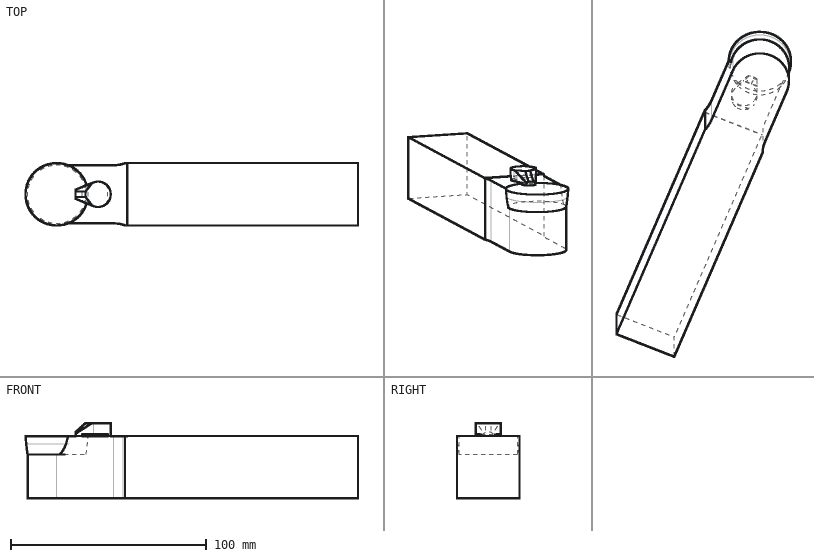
import cadquery as cq
import math


total_length = 170.0
shank_size = 32.0
shank_half_width = shank_size / 2
shank_start = 51.0
ramp_start = 52.0
ramp_end = 52.25
ramp_rise = 0.2
bottom_z = ramp_rise - shank_size

neck_half_width = 14.9
flare_start = 45.0
flare_end = 50.0
flare_angle = math.radians(16.0)
flare_radius = (flare_end - flare_start) / math.sin(flare_angle)

insert_radius = 16.0
insert_center_x = insert_radius
insert_thickness = 9.3
rim_height = 4.1
rim_relief = math.radians(5.0)
body_relief = math.radians(7.3)
rim_bottom_radius = insert_radius - rim_height * math.tan(rim_relief)
insert_bottom_radius = rim_bottom_radius - (insert_thickness - rim_height) * math.tan(body_relief)

total_height = 38.5
clamp_height = total_height + bottom_z
clamp_radius = 6.5
clamp_center_x = 37.15
clamp_tip_x = 25.7
clamp_tip_half_width = 2.35

ridge_half_width = 1.3
ridge_top_x = 30.7
ridge_tip_height = 2.1
flank_top_x = 34.0

clearance_height = 1.0
clearance_start = 29.0
clearance_end = 42.0


def make_insert():
    profile = [
        (0, 0),
        (insert_radius, 0),
        (rim_bottom_radius, -rim_height),
        (insert_bottom_radius, -insert_thickness),
        (0, -insert_thickness),
    ]
    cones = cq.Workplane("XZ").polyline(profile).close().revolve(360, (0, 0), (0, 1))
    return cones.translate((insert_center_x, 0, 0))


def flare_point(angle):
    """Point on the +Y flare arc, at the given angle from its tangent start on the neck."""
    x = flare_start + flare_radius * math.sin(angle)
    y = neck_half_width + flare_radius * (1 - math.cos(angle))
    return x, y


def make_shank_and_neck():
    mid_x, mid_y = flare_point(flare_angle / 2)
    end_x, end_y = flare_point(flare_angle)
    bar = (
        cq.Workplane("XY")
        .moveTo(insert_center_x, neck_half_width)
        .lineTo(flare_start, neck_half_width)
        .threePointArc((mid_x, mid_y), (end_x, end_y))
        .lineTo(shank_start, shank_half_width)
        .lineTo(total_length, shank_half_width)
        .lineTo(total_length, -shank_half_width)
        .lineTo(shank_start, -shank_half_width)
        .lineTo(end_x, -end_y)
        .threePointArc((mid_x, -mid_y), (flare_start, -neck_half_width))
        .lineTo(insert_center_x, -neck_half_width)
        .threePointArc((insert_center_x - neck_half_width, 0), (insert_center_x, neck_half_width))
        .close()
        .extrude(bottom_z)
    )
    raised_top = (
        cq.Workplane("XZ")
        .moveTo(ramp_start, 0)
        .lineTo(ramp_end, ramp_rise)
        .lineTo(total_length, ramp_rise)
        .lineTo(total_length, 0)
        .close()
        .extrude(shank_half_width, both=True)
    )
    return bar.union(raised_top)


def make_clamp_blank():
    """Straight flanks run from the tip to the round head, tangent to it."""
    tip_offset_x = clamp_tip_x - clamp_center_x
    tip_distance = math.hypot(tip_offset_x, clamp_tip_half_width)
    tip_direction = math.atan2(clamp_tip_half_width, tip_offset_x)
    tangent_direction = tip_direction - math.acos(clamp_radius / tip_distance)
    tangent_x = clamp_center_x + clamp_radius * math.cos(tangent_direction)
    tangent_y = clamp_radius * math.sin(tangent_direction)
    return (
        cq.Workplane("XY")
        .moveTo(clamp_tip_x, -clamp_tip_half_width)
        .lineTo(tangent_x, -tangent_y)
        .threePointArc((clamp_center_x + clamp_radius, 0), (tangent_x, tangent_y))
        .lineTo(clamp_tip_x, clamp_tip_half_width)
        .close()
        .extrude(clamp_height)
    )


def make_clamp_slopes():
    """Material above the ridge and above the flank on each side of it."""
    ridge_slope = (clamp_height - ridge_tip_height) / (ridge_top_x - clamp_tip_x)
    slopes = (
        cq.Workplane("XZ")
        .moveTo(clamp_tip_x, ridge_tip_height)
        .lineTo(ridge_top_x, clamp_height)
        .lineTo(clamp_tip_x, clamp_height)
        .close()
        .extrude(ridge_half_width, both=True)
    )

    flank_top_y = math.sqrt(clamp_radius**2 - (clamp_center_x - flank_top_x) ** 2)
    flank_slope = ridge_slope * (flank_top_x - ridge_top_x) / (flank_top_y - ridge_half_width)
    block_size = 4 * clamp_radius
    for side in (1, -1):
        flank_plane = cq.Plane(
            origin=(ridge_top_x, side * ridge_half_width, clamp_height),
            xDir=(1, 0, ridge_slope),
            normal=(-ridge_slope, side * flank_slope, 1),
        )
        above_flank = cq.Workplane(flank_plane).rect(2 * block_size, 2 * block_size).extrude(block_size)
        beside_ridge = (
            cq.Workplane("XY")
            .box(block_size, block_size, block_size)
            .translate((clamp_tip_x, side * (ridge_half_width + block_size / 2), 0))
        )
        slopes = slopes.union(above_flank.intersect(beside_ridge))
    return slopes


def make_clamp_clearance():
    length = clearance_end - clearance_start
    return (
        cq.Workplane("XY")
        .box(length, shank_size, clearance_height, centered=(False, True, False))
        .translate((clearance_start, 0, 0))
    )


def make_holder(insert):
    """Shank, neck and clamp in one piece, with a seat that fits the insert."""
    clamp = make_clamp_blank().cut(make_clamp_slopes()).cut(make_clamp_clearance())
    return make_shank_and_neck().cut(insert).union(clamp)


insert = make_insert()
holder = make_holder(insert)
result = cq.Compound.makeCompound([holder.solids().val(), insert.solids().val()])